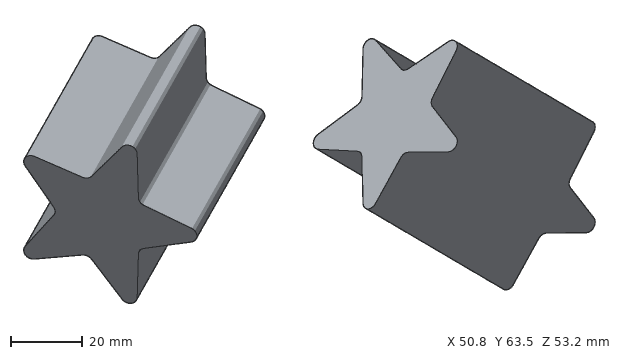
import cadquery as cq
import math

length = 63.5
point_count = 5
outer_radius = 32.8
inner_radius = 13.3
edge_radius = 2.5


def star_corners():
    """Alternate point and valley corners around the star."""
    half_pitch = math.pi / point_count
    corners = []
    for i in range(2 * point_count):
        radius = outer_radius if i % 2 == 0 else inner_radius
        angle = i * half_pitch
        corners.append((radius * math.cos(angle), radius * math.sin(angle)))
    return corners


sharp_star = cq.Workplane("XZ").polyline(star_corners()).close().extrude(length / 2, both=True)

result = sharp_star.edges("|Y").fillet(edge_radius)